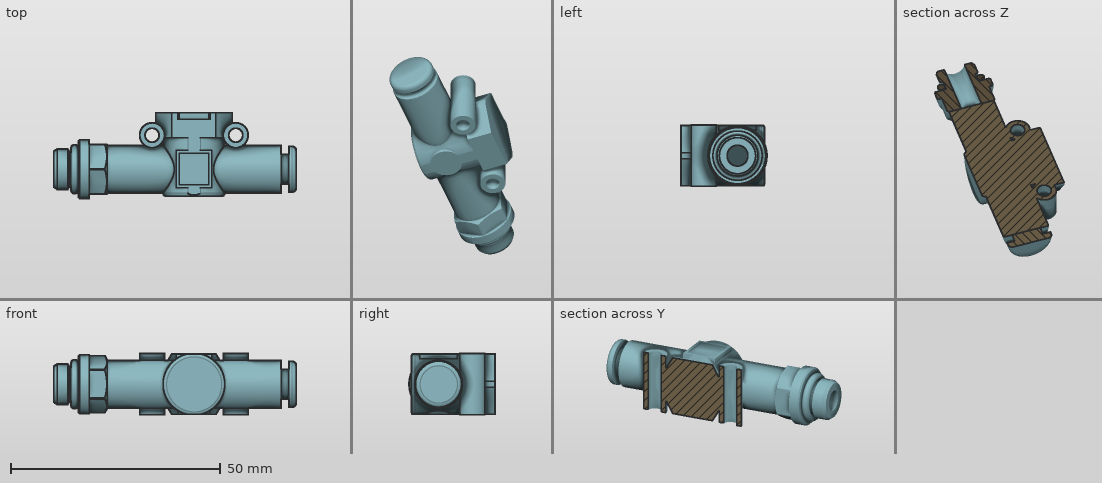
import cadquery as cq
import math


TOTAL_LENGTH = 58.0
LEFT_END = -33.5
RIGHT_END = LEFT_END + TOTAL_LENGTH

THREAD_DIAMETER = 9.75
THREAD_LENGTH = 3.35
THREAD_TIP_DIAMETER = 8.65
THREAD_TIP_LENGTH = 0.85
NECK_DIAMETER = 8.2
NECK_TAPER_LENGTH = 0.4
BORE_DIAMETER = 5.0
FLANGE_OFFSET = 5.9
FLANGE_DIAMETER = 14.15
FLANGE_CHAMFER = 0.35
HEX_OFFSET = 8.45
HEX_ACROSS_FLATS = 12.0
HEX_CORNER_DIAMETER = 13.7
HEX_END_DIAMETER = 11.6
HEX_CHAMFER_ANGLE = 30.0
STUD_LENGTH = 12.8

RING_SECTION_DIAMETER = 1.8

COLLAR_NECK_DIAMETER = 7.2
COLLAR_NECK_LENGTH = 1.85
COLLAR_LENGTH = 3.65
COLLAR_RIM_DIAMETER = 11.0
COLLAR_RIM_FILLET = 1.05

TUBE_DIAMETER = 11.4
TUBE_START = LEFT_END + STUD_LENGTH
TUBE_END = RIGHT_END - COLLAR_LENGTH
BARREL_DIAMETER = 14.8
BARREL_FRONT = -6.5
BARREL_FILLET = 0.8
BODY_HEIGHT = 14.5
HALF_HEIGHT = BODY_HEIGHT / 2

HEAD_FRONT = 7.5
HEAD_BACK = 13.5
HEAD_FLAT_HALF_WIDTH = 5.3
HEAD_HALF_WIDTH = 9.15
HEAD_SIDE_HALF_HEIGHT = 0.7
NOTCH_LENGTH = 1.55
NOTCH_DEPTH = 0.35
NOTCH_TOP_WIDTH = 7.85

PAD_WIDTH = 8.45
PAD_LENGTH = 8.95
PAD_BORDER = 0.7
PAD_RECESS_DEPTH = 0.2
BOSS_DIAMETER = 7.6

SLEEVE_DIAMETER = 6.0
SLEEVE_HOLE_DIAMETER = 3.3
SLEEVE_HEIGHT = 14.7
SLEEVE_SPACING = 20.0
SLEEVE_Y = 8.1


def cylinder_x(diameter, start, end):
    """Solid cylinder on the run axis between two X positions."""
    return cq.Workplane("YZ", origin=(start, 0, 0)).circle(diameter / 2).extrude(end - start)


def revolve_x(points):
    """Turn an (x, radius) outline around the run axis."""
    return cq.Workplane("XY").polyline(points).close().revolve(360, (0, 0, 0), (1, 0, 0))


def make_barrel():
    """Branch barrel with a rounded front rim, cut flat at the top and bottom."""
    barrel = (
        cq.Workplane("XZ", origin=(0, BARREL_FRONT, 0))
        .circle(BARREL_DIAMETER / 2)
        .extrude(BARREL_FRONT - HEAD_FRONT)
        .faces("<Y")
        .edges()
        .fillet(BARREL_FILLET)
    )
    flat_limits = cq.Workplane("XY").box(2 * BARREL_DIAMETER, 4 * BARREL_DIAMETER, BODY_HEIGHT)
    return barrel.intersect(flat_limits)


def make_head():
    """Eight-sided head with a shallow flared notch in its top back edge."""
    head = (
        cq.Workplane("XZ", origin=(0, HEAD_FRONT, 0))
        .polyline([
            (HEAD_FLAT_HALF_WIDTH, HALF_HEIGHT),
            (HEAD_HALF_WIDTH, HEAD_SIDE_HALF_HEIGHT),
            (HEAD_HALF_WIDTH, -HEAD_SIDE_HALF_HEIGHT),
            (HEAD_FLAT_HALF_WIDTH, -HALF_HEIGHT),
            (-HEAD_FLAT_HALF_WIDTH, -HALF_HEIGHT),
            (-HEAD_HALF_WIDTH, -HEAD_SIDE_HALF_HEIGHT),
            (-HEAD_HALF_WIDTH, HEAD_SIDE_HALF_HEIGHT),
            (-HEAD_FLAT_HALF_WIDTH, HALF_HEIGHT),
        ])
        .close()
        .extrude(HEAD_FRONT - HEAD_BACK)
    )
    notch_top = NOTCH_TOP_WIDTH / 2
    notch_floor = notch_top - NOTCH_DEPTH
    notch = (
        cq.Workplane("XZ", origin=(0, HEAD_BACK, 0))
        .polyline([
            (-notch_top, HALF_HEIGHT),
            (notch_top, HALF_HEIGHT),
            (notch_floor, HALF_HEIGHT - NOTCH_DEPTH),
            (-notch_floor, HALF_HEIGHT - NOTCH_DEPTH),
        ])
        .close()
        .extrude(NOTCH_LENGTH)
    )
    return head.cut(notch)


def make_pad():
    """Rectangular label pad rising from the run axis to the top flat."""
    return cq.Workplane("XY").rect(PAD_WIDTH, PAD_LENGTH).extrude(HALF_HEIGHT)


def make_pad_recess():
    """Shallow label recess inside the border of the pad."""
    return (
        cq.Workplane("XY", origin=(0, 0, HALF_HEIGHT))
        .rect(PAD_WIDTH - 2 * PAD_BORDER, PAD_LENGTH - 2 * PAD_BORDER)
        .extrude(-PAD_RECESS_DEPTH)
    )


def make_boss():
    """Round boss reaching down from the run axis to the bottom flat."""
    return cq.Workplane("XY").circle(BOSS_DIAMETER / 2).extrude(-HALF_HEIGHT)


def make_upright(diameter, x):
    """Upright cylinder at a mounting sleeve position."""
    base = cq.Workplane("XY", origin=(x, SLEEVE_Y, -SLEEVE_HEIGHT / 2))
    return base.circle(diameter / 2).extrude(SLEEVE_HEIGHT)


def make_housing():
    """Tee housing in one piece, with both mounting sleeves drilled through."""
    body = cylinder_x(TUBE_DIAMETER, TUBE_START, TUBE_END)
    body = body.union(make_barrel()).union(make_head()).union(make_pad()).union(make_boss())
    body = body.cut(make_pad_recess())
    for x in (-SLEEVE_SPACING / 2, SLEEVE_SPACING / 2):
        body = body.union(make_upright(SLEEVE_DIAMETER, x))
        body = body.cut(make_upright(SLEEVE_HOLE_DIAMETER, x))
    return body


def make_hexagon():
    """Wrench hexagon with turned corners and a conical chamfer facing the tube."""
    hex_start = LEFT_END + HEX_OFFSET
    corner_radius = HEX_CORNER_DIAMETER / 2
    end_radius = HEX_END_DIAMETER / 2
    chamfer_length = (corner_radius - end_radius) * math.tan(math.radians(HEX_CHAMFER_ANGLE))
    corner_limit = revolve_x([
        (hex_start, 0),
        (hex_start, corner_radius),
        (TUBE_START - chamfer_length, corner_radius),
        (TUBE_START, end_radius),
        (TUBE_START, 0),
    ])
    circumscribed_diameter = HEX_ACROSS_FLATS / math.cos(math.pi / 6)
    hexagon = (
        cq.Workplane("YZ", origin=(hex_start, 0, 0))
        .transformed(rotate=(0, 0, 90))
        .polygon(6, circumscribed_diameter)
        .extrude(TUBE_START - hex_start)
    )
    return hexagon.intersect(corner_limit)


def make_stud():
    """Threaded stud with a flange, a hexagon and a bore that runs up to the housing."""
    thread_end = LEFT_END + THREAD_LENGTH
    flange_start = LEFT_END + FLANGE_OFFSET
    flange_end = LEFT_END + HEX_OFFSET
    turned = revolve_x([
        (LEFT_END, 0),
        (LEFT_END, THREAD_TIP_DIAMETER / 2),
        (LEFT_END + THREAD_TIP_LENGTH, THREAD_DIAMETER / 2),
        (thread_end, THREAD_DIAMETER / 2),
        (thread_end + NECK_TAPER_LENGTH, NECK_DIAMETER / 2),
        (flange_start, NECK_DIAMETER / 2),
        (flange_start, FLANGE_DIAMETER / 2 - FLANGE_CHAMFER),
        (flange_start + FLANGE_CHAMFER, FLANGE_DIAMETER / 2),
        (flange_end, FLANGE_DIAMETER / 2),
        (flange_end, 0),
    ])
    bore = cylinder_x(BORE_DIAMETER, LEFT_END, TUBE_START)
    return turned.union(make_hexagon()).cut(bore)


def make_sealing_ring():
    """Round-section ring that touches the neck and the flange face."""
    section_radius = RING_SECTION_DIAMETER / 2
    center_x = LEFT_END + FLANGE_OFFSET - section_radius
    center_radius = NECK_DIAMETER / 2 + section_radius
    return (
        cq.Workplane("XY")
        .center(center_x, center_radius)
        .circle(section_radius)
        .revolve(360, (0, -center_radius, 0), (1, -center_radius, 0))
    )


def make_collar():
    """Release collar: a neck against the tube end and a rim rounded on its outer face."""
    rim_start = TUBE_END + COLLAR_NECK_LENGTH
    neck = cylinder_x(COLLAR_NECK_DIAMETER, TUBE_END, rim_start)
    rim = cylinder_x(COLLAR_RIM_DIAMETER, rim_start, RIGHT_END)
    rim = rim.faces(">X").edges().fillet(COLLAR_RIM_FILLET)
    return neck.union(rim)


housing = make_housing()
stud = make_stud()
sealing_ring = make_sealing_ring()
collar = make_collar()

result = cq.Compound.makeCompound([body.solids().val() for body in (housing, stud, sealing_ring, collar)])